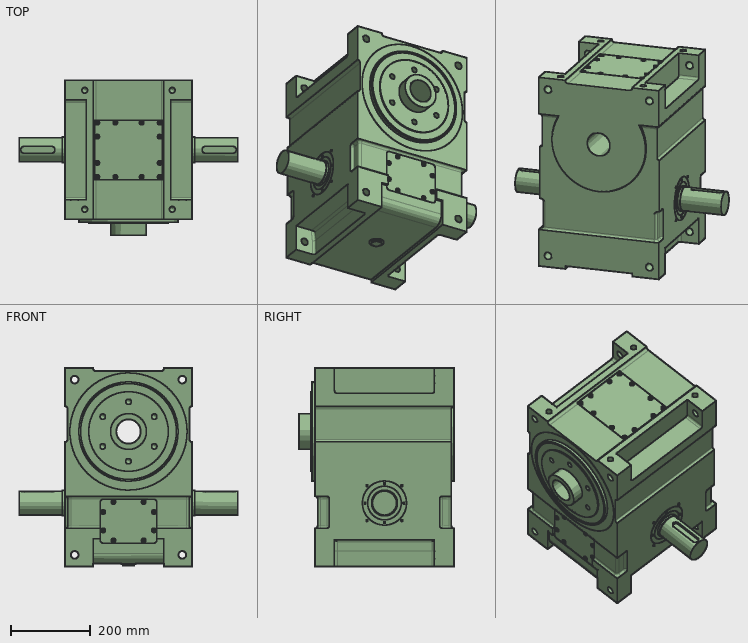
import cadquery as cq
import math


shaft_length = 550.0
width = 320.0
depth = 350.0
height = 500.0
half_width = width / 2
half_depth = depth / 2
clearance = 27.5

relief = 6.5
corner_round = 6.5
channel_half_width = 89.0
channel_depth = 7.5
neck_low = 97.0
neck_high = 177.0
neck_side_length = 36.5
neck_side_depth = 7.5
band_low = 313.5
band_high = 403.0
foot_gap_high = 70.0
foot_gap_round = 26.0

pocket_length = 251.5
pocket_depth = 53.5
top_pocket_height = 64.0
bottom_pocket_height = 68.0
bottom_pocket_bend = 40.0
bottom_pocket_lean = 3.5

through_hole_dia = 18.5
through_hole_x = 135.5
through_hole_edge = 29.5
top_hole_dia = 14.5
top_hole_x = 110.0
top_hole_y = 149.5
top_hole_depth = 27.5
drill_point_angle = 118.0

hub_z = 340.0
bearing_cover_radius = 147.5
flange_radius = 125.0
flange_height = 7.5
flange_lip_radius = 120.5
flange_lip_depth = 1.0
plate_radius = 100.0
plate_height = 10.0
hub_radius = 45.0
hub_height = 40.0
bore_radius = 30.0
flange_hole_count = 6
flange_hole_circle = 75.0
flange_hole_dia = 14.0
flange_hole_depth = 22.0

shaft_z = 160.0
shaft_radius = 30.0
collar_radius = 32.5
collar_length = 6.0
key_width = 17.0
key_length = 86.5
key_depth = 7.0
key_end_gap = 4.0
end_cap_radius = 55.5
seal_radius = 42.5
cap_hole_dia = 5.0
cap_hole_depth = 3.0
cap_screw_circle = 49.0
housing_screw_circle = 62.0
shaft_hole_count = 8

cover_step = 0.5
top_cover_length = 170.0
top_cover_width = 149.5
top_screw_edge = 6.5
top_screw_inner = 33.0
front_cover_length = 142.0
front_cover_height = 111.0
front_cover_round = 8.0
front_cover_z = 114.5
front_screw_x = (38.0, 64.0)
front_screw_z = (48.5, 23.0)
screw_dia = 11.0
screw_depth = 1.5
socket_size = 6.0
socket_depth = 4.5

plug_washer_radius = 18.0
plug_washer_height = 1.5
plug_head_size = 28.5
plug_head_height = 5.5


def box(x0, x1, y0, y1, z0, z1):
    """Box between opposite corners."""
    size = (x1 - x0, y1 - y0, z1 - z0)
    return cq.Workplane("XY").box(*size, centered=False).translate((x0, y0, z0))


def disc(radius, y_from, y_to):
    """Disc on the hub axis between two Y positions."""
    plane = cq.Workplane("XZ", origin=(0, y_from, hub_z))
    return plane.circle(radius).extrude(y_from - y_to)


def both_sides(body):
    """Body on the -X side together with its mirror image on the +X side."""
    return body.union(body.mirror("YZ"))


def drilled_hole(diameter, hole_depth):
    """Hole running down from the origin, ending in a drill point."""
    radius = diameter / 2
    tip = radius / math.tan(math.radians(drill_point_angle / 2))
    outline = [(0, 0), (radius, 0), (radius, -hole_depth), (0, -hole_depth - tip)]
    return cq.Workplane("XZ").polyline(outline).close().revolve(360, (0, 0, 0), (0, 1, 0))


def channel(lower, upper, rounded):
    """Full-length channel along Y between two heights."""
    body = box(-channel_half_width, channel_half_width,
               -half_depth - clearance, half_depth + clearance, lower, upper)
    if rounded:
        body = body.edges("<Z and |Y").fillet(corner_round)
    return body


def neck():
    """Band across the front face that wraps around both front corners."""
    outer_x = half_width + clearance
    inner_x = half_width - neck_side_depth
    outer_y = -half_depth - clearance
    inner_y = -half_depth + relief
    wrap_y = -half_depth + neck_side_length
    outline = [
        (-outer_x, outer_y), (outer_x, outer_y), (outer_x, wrap_y), (inner_x, wrap_y),
        (inner_x, inner_y), (-inner_x, inner_y), (-inner_x, wrap_y), (-outer_x, wrap_y),
    ]
    band = cq.Workplane("XY", origin=(0, 0, neck_low)).polyline(outline).close()
    return band.extrude(neck_high - neck_low).edges().fillet(corner_round)


def back_relief():
    """Recess across the whole back face between the feet and the top block."""
    reach = half_width + clearance
    body = box(-reach, reach, half_depth - relief, half_depth + clearance, neck_low, band_high)
    return body.edges("<Y and |X").fillet(corner_round)


def side_band():
    """Recessed band along the -X face."""
    reach = half_depth + clearance
    body = box(-half_width - clearance, -half_width + relief, -reach, reach, band_low, band_high)
    return body.edges(">X and |Y").fillet(corner_round)


def top_pocket():
    """Pocket in the -X face, open at the top."""
    body = box(-half_width - clearance, -half_width + pocket_depth,
               -pocket_length / 2, pocket_length / 2,
               height - top_pocket_height, height + clearance)
    return body.edges("<Z and |X").fillet(corner_round)


def bottom_pocket():
    """Pocket in the -X face, open at the bottom, with a back wall leaning out near its roof."""
    outer_x = -half_width - clearance
    back_x = -half_width + pocket_depth
    outline = [
        (outer_x, -clearance), (back_x, -clearance), (back_x, bottom_pocket_bend),
        (back_x - bottom_pocket_lean, bottom_pocket_height), (outer_x, bottom_pocket_height),
    ]
    section = cq.Workplane("XZ", origin=(0, pocket_length / 2, 0)).polyline(outline).close()
    body = section.extrude(pocket_length)
    roof_edge = body.faces(">Z").edges(">X")
    wall_edges = body.edges("(not |Y) and (not |X)").edges("not <X")
    return body.newObject(roof_edge.vals() + wall_edges.vals()).fillet(corner_round)


def foot_gap():
    """Space between the front feet, leaving a rounded lower edge on the housing."""
    face_y = -half_depth + relief
    outer_y = -half_depth - clearance
    outline = (
        cq.Workplane("YZ", origin=(-channel_half_width, 0, 0))
        .moveTo(outer_y, foot_gap_high)
        .lineTo(face_y, foot_gap_high)
        .lineTo(face_y, channel_depth + foot_gap_round)
        .radiusArc((face_y + foot_gap_round, channel_depth), -foot_gap_round)
        .lineTo(outer_y, channel_depth)
        .close()
    )
    return outline.extrude(2 * channel_half_width)


def front_cover(y_from, y_to):
    """Rounded block with the outline of the front cover between two Y positions."""
    plane = cq.Workplane("XZ", origin=(0, y_to, front_cover_z))
    plate = plane.rect(front_cover_length, front_cover_height).extrude(y_to - y_from)
    return plate.edges("|Y").fillet(front_cover_round)


def screw_recesses(plane, points):
    """Screw head recesses with hexagon sockets."""
    heads = plane.pushPoints(points).circle(screw_dia / 2).extrude(-screw_depth)
    sockets = plane.pushPoints(points).polygon(6, socket_size).extrude(-socket_depth)
    return heads.union(sockets)


def mirrored_points(pairs):
    """Each (a, b) pair repeated in all four quadrants."""
    return [(sx * a, sy * b) for a, b in pairs for sx in (-1, 1) for sy in (-1, 1)]


body = box(-half_width, half_width, -half_depth, half_depth, 0, height)
body = body.cut(channel(height - channel_depth, height + clearance, True))
body = body.cut(channel(-clearance, channel_depth, False))
body = body.cut(neck()).cut(neck().mirror("XZ")).cut(back_relief())
for pocket in (side_band(), top_pocket(), bottom_pocket()):
    body = body.cut(both_sides(pocket))
body = body.cut(foot_gap())

cover_y = -half_depth + relief + cover_step
body = body.cut(front_cover(-half_depth - clearance, cover_y))
front_plane = cq.Workplane("XZ", origin=(0, cover_y, front_cover_z))
front_points = mirrored_points(zip(front_screw_x, front_screw_z))
body = body.cut(screw_recesses(front_plane, front_points))

cover_z = height - channel_depth - cover_step
body = body.cut(box(-top_cover_length / 2, top_cover_length / 2,
                    -top_cover_width / 2, top_cover_width / 2, cover_z, height))
top_screw_x = top_cover_length / 2 - top_screw_edge
top_screw_y = top_cover_width / 2 - top_screw_edge
top_points = mirrored_points([
    (top_screw_x, top_screw_y), (top_screw_inner, top_screw_y), (top_screw_x, top_screw_inner),
])
top_plane = cq.Workplane("XY", origin=(0, 0, cover_z))
body = body.cut(screw_recesses(top_plane, top_points))

front_y = -half_depth
flange_y = front_y - flange_height
body = body.cut(disc(bearing_cover_radius, front_y - clearance, front_y + cover_step))
body = body.union(disc(flange_radius, flange_y, front_y + relief))
body = body.cut(disc(flange_lip_radius, flange_y - clearance, flange_y + flange_lip_depth))
body = body.union(disc(plate_radius, front_y - plate_height, front_y))
body = body.union(disc(hub_radius, front_y - hub_height, front_y))
body = body.union(disc(flange_radius, half_depth - 2 * relief, half_depth))
body = body.cut(disc(bore_radius, front_y - hub_height - clearance, half_depth + clearance))
flange_hole = (
    drilled_hole(flange_hole_dia, flange_hole_depth)
    .rotate((0, 0, 0), (1, 0, 0), 90)
    .translate((0, front_y - plate_height, hub_z + flange_hole_circle))
)
for i in range(flange_hole_count):
    angle = i * 360 / flange_hole_count
    body = body.cut(flange_hole.rotate((0, 0, hub_z), (0, 1, hub_z), angle))

side_plane = cq.Workplane("YZ", origin=(-half_width, 0, shaft_z))
cap = side_plane.circle(end_cap_radius).circle(seal_radius).extrude(cover_step)
body = body.cut(both_sides(cap))
for i in range(shaft_hole_count):
    angle = math.radians(i * 360 / shaft_hole_count)
    circle = housing_screw_circle if i % 2 else cap_screw_circle
    spot = (circle * math.cos(angle), circle * math.sin(angle))
    hole = side_plane.center(*spot).circle(cap_hole_dia / 2)
    body = body.cut(both_sides(hole.extrude(cap_hole_depth, both=True)))

shaft_plane = cq.Workplane("YZ", origin=(0, 0, shaft_z))
shaft = shaft_plane.circle(shaft_radius).extrude(shaft_length / 2, both=True)
collar = shaft_plane.circle(collar_radius).extrude(half_width + collar_length, both=True)
key_x = -shaft_length / 2 + key_end_gap + key_length / 2
key_plane = cq.Workplane("XY", origin=(key_x, 0, shaft_z + shaft_radius - key_depth))
keyway = key_plane.slot2D(key_length, key_width).extrude(clearance)
body = body.union(collar.union(shaft).cut(both_sides(keyway)))

plug_plane = cq.Workplane("XY", origin=(0, 0, channel_depth))
body = body.union(plug_plane.circle(plug_washer_radius).extrude(-plug_washer_height))
body = body.union(plug_plane.polygon(6, plug_head_size).extrude(-plug_head_height))

through_points = [(sx * through_hole_x, z) for sx in (-1, 1)
                  for z in (through_hole_edge, height - through_hole_edge)]
through_plane = cq.Workplane("XZ").pushPoints(through_points).circle(through_hole_dia / 2)
body = body.cut(through_plane.extrude(depth, both=True))
for x, y in mirrored_points([(top_hole_x, top_hole_y)]):
    body = body.cut(drilled_hole(top_hole_dia, top_hole_depth).translate((x, y, height)))

result = body